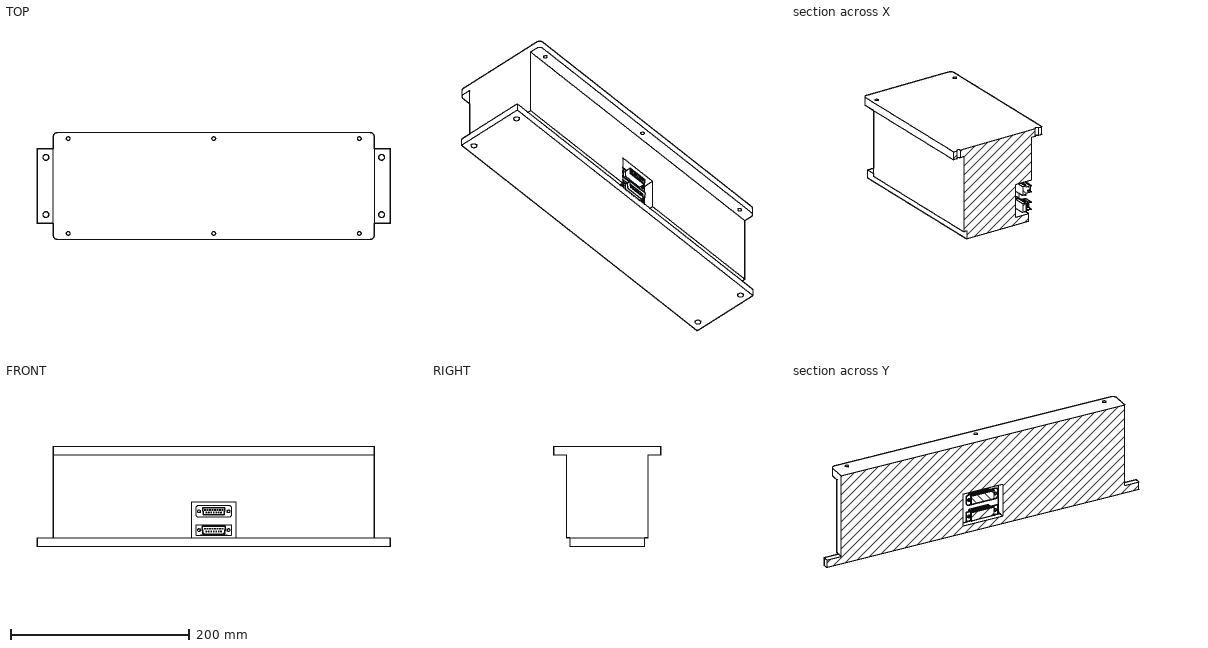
import cadquery as cq
import math

foot_length = 396.0
foot_width = 84.0
foot_height = 10.0
body_length = 360.0
body_width = 92.0
lid_width = 120.0
lid_height = 10.0
total_height = 112.5
lid_corner_radius = 4.8

lid_hole_diameter = 4.0
lid_hole_x = 163.0
lid_hole_y = 53.0
foot_hole_diameter = 6.5
foot_hole_x = 188.0
foot_hole_y = 32.0

recess_width = 50.0
recess_height = 40.0
recess_depth = 21.8
body_front_y = -body_width / 2

flange_setback = 7.5
flange_length = 40.0
flange_thickness = 1.0
flange_hole_diameter = 3.05
flange_hole_spacing = 33.3
flange_front_y = body_front_y + flange_setback
flange_back_y = flange_front_y + flange_thickness
rear_block_width = 29.5
rear_block_height = 11.0
rear_block_depth = 3.5
shell_length = 7.0
shell_slant = math.radians(8)
contact_pitch = 2.8
row_spacing = 2.97
long_row_count = 8

socket_z = 39.5
socket_flange_height = 13.0
socket_flange_radius = 3.0
socket_shell_width = 25.7
socket_shell_height = 8.5
socket_shell_radius = 1.0
socket_rim = 0.6
socket_rim_depth = 0.8
socket_hole_diameter = 1.03
socket_hole_depth = 4.8

plug_z = 18.5
plug_flange_height = 12.0
plug_flange_radius = 0.8
plug_collar_width = 27.5
plug_collar_height = 10.0
plug_collar_radius = 2.0
plug_collar_length = 3.5
plug_collar_step = 0.5
plug_wall = 0.5
pin_diameter = 1.0
pin_length = 4.8


def front_plane(y, z):
    """Sketch plane facing -Y, centred at the given depth and height."""
    return cq.Workplane(cq.Plane(origin=(0, y, z), xDir=(1, 0, 0), normal=(0, -1, 0)))


def slab(length, width, bottom, top):
    """Box centred on the Z axis between two heights."""
    return cq.Workplane("XY").workplane(offset=bottom).rect(length, width).extrude(top - bottom)


def vertical_pegs(xs, y, diameter, bottom, top):
    """Upright cylinders at each x, mirrored to both sides of the XZ plane."""
    points = [(x, side * y) for x in xs for side in (-1, 1)]
    plane = cq.Workplane("XY").workplane(offset=bottom)
    return plane.pushPoints(points).circle(diameter / 2).extrude(top - bottom)


def make_housing():
    lid_bottom = total_height - lid_height
    foot = slab(foot_length, foot_width, 0, foot_height)
    body = slab(body_length, body_width, foot_height, lid_bottom)
    lid = slab(body_length, lid_width, lid_bottom, total_height).edges("|Z").fillet(lid_corner_radius)
    lid_holes = vertical_pegs(
        (-lid_hole_x, 0, lid_hole_x), lid_hole_y, lid_hole_diameter, lid_bottom, total_height
    )
    foot_holes = vertical_pegs((-foot_hole_x, foot_hole_x), foot_hole_y, foot_hole_diameter, 0, foot_height)
    recess = (
        front_plane(body_front_y + recess_depth, foot_height + recess_height / 2)
        .rect(recess_width, recess_height)
        .extrude(recess_depth)
    )
    return foot.union(body).union(lid).cut(lid_holes).cut(foot_holes).cut(recess)


def d_prism(y, z, width, height, corner_radius, length):
    """D-shaped prism, widest at the top, running from depth y toward -Y."""
    half_top = width / 2
    half_bottom = half_top - height * math.tan(shell_slant)
    half_height = height / 2
    corners = [
        (-half_top, half_height),
        (half_top, half_height),
        (half_bottom, -half_height),
        (-half_bottom, -half_height),
    ]
    prism = front_plane(y, z).polyline(corners).close().extrude(length)
    return prism.edges("|Y").fillet(corner_radius)


def contact_rods(y, z, diameter, length):
    """Rods at every contact: a long upper row and a lower row with one contact fewer."""
    points = []
    for count, row_z in ((long_row_count, row_spacing / 2), (long_row_count - 1, -row_spacing / 2)):
        points += [((i - (count - 1) / 2) * contact_pitch, row_z) for i in range(count)]
    return front_plane(y, z).pushPoints(points).circle(diameter / 2).extrude(length)


def make_flange(z, height, corner_radius):
    """Mounting flange with two screw holes and the block behind it."""
    hole_x = flange_hole_spacing / 2
    plate = front_plane(flange_back_y, z).rect(flange_length, height).extrude(flange_thickness)
    plate = plate.edges("|Y").fillet(corner_radius)
    holes = (
        front_plane(flange_back_y, z)
        .pushPoints([(-hole_x, 0), (hole_x, 0)])
        .circle(flange_hole_diameter / 2)
        .extrude(flange_thickness)
    )
    rear_block = (
        front_plane(flange_back_y + rear_block_depth, z)
        .rect(rear_block_width, rear_block_height)
        .extrude(rear_block_depth)
    )
    return plate.cut(holes).union(rear_block)


def make_socket():
    shell_front_y = flange_front_y - shell_length
    shell = d_prism(
        flange_front_y, socket_z, socket_shell_width, socket_shell_height, socket_shell_radius, shell_length
    )
    rim_opening = d_prism(
        shell_front_y + socket_rim_depth,
        socket_z,
        socket_shell_width - 2 * socket_rim,
        socket_shell_height - 2 * socket_rim,
        socket_shell_radius - socket_rim,
        socket_rim_depth,
    )
    holes = contact_rods(shell_front_y + socket_hole_depth, socket_z, socket_hole_diameter, socket_hole_depth)
    flange = make_flange(socket_z, socket_flange_height, socket_flange_radius)
    return flange.union(shell).cut(rim_opening).cut(holes)


def plug_prism(inset, length):
    """D prism of the plug, inset from the collar outline."""
    return d_prism(
        flange_front_y,
        plug_z,
        plug_collar_width - 2 * inset,
        plug_collar_height - 2 * inset,
        plug_collar_radius - inset,
        length,
    )


def make_plug():
    collar = plug_prism(0, plug_collar_length)
    shell = plug_prism(plug_collar_step, shell_length)
    cavity = plug_prism(plug_collar_step + plug_wall, shell_length)
    pins = contact_rods(flange_front_y, plug_z, pin_diameter, pin_length)
    flange = make_flange(plug_z, plug_flange_height, plug_flange_radius)
    return flange.union(collar).union(shell).cut(cavity).union(pins)


housing = make_housing()
socket = make_socket()
plug = make_plug()

result = cq.Compound.makeCompound([housing.val(), socket.val(), plug.val()])